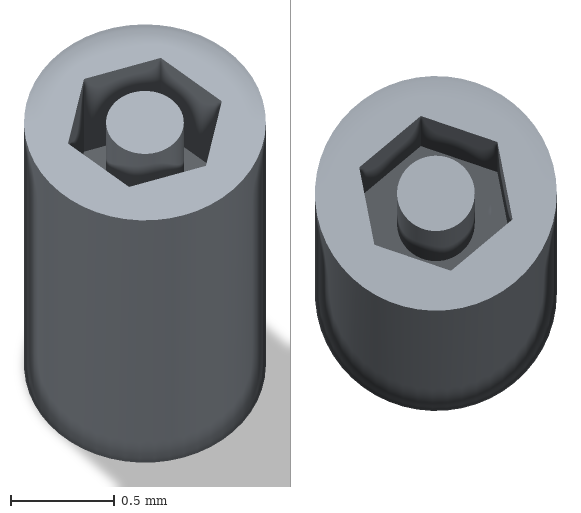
import cadquery as cq
import math

body_length = 2.0
body_diameter = 1.17
socket_across_flats = 0.68
socket_depth = 0.6
pin_diameter = 0.375

socket_across_corners = socket_across_flats / math.cos(math.pi / 6)
socket_floor = body_length - socket_depth


def make_body():
    """Plain cylinder standing on the XY plane."""
    return cq.Workplane("XY").circle(body_diameter / 2).extrude(body_length)


def make_socket():
    """Hexagonal recess in the top face, with two corners on the Y axis."""
    return (
        cq.Workplane("XY", origin=(0, 0, socket_floor))
        .transformed(rotate=(0, 0, 90))
        .polygon(6, socket_across_corners)
        .extrude(socket_depth)
    )


def make_pin():
    """Central security pin, rising from the socket floor flush with the top face."""
    return (
        cq.Workplane("XY", origin=(0, 0, socket_floor))
        .circle(pin_diameter / 2)
        .extrude(socket_depth)
    )


result = make_body().cut(make_socket().cut(make_pin()))